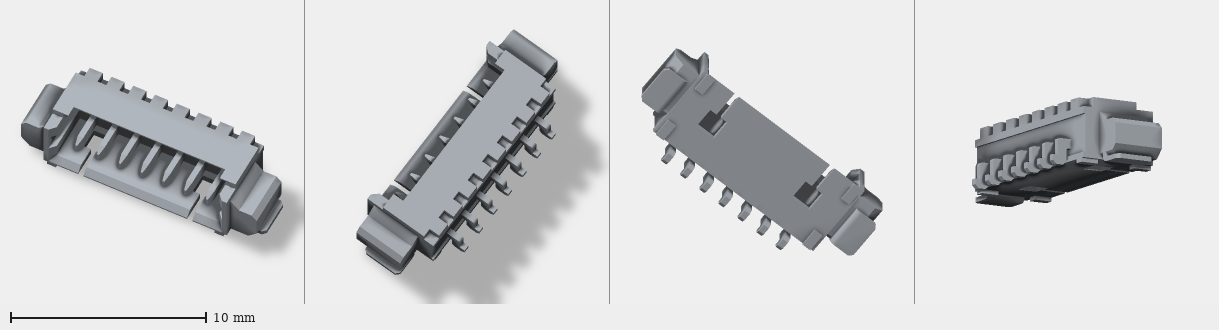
import cadquery as cq

overall_length = 13.9
overall_depth = 5.2
overall_height = 3.4

body_length = 10.51
body_depth = 4.2
body_bottom = 0.21
pad_length = 0.5
pad_outer_x = 5.06
front_pad_depth = 1.0

cavity_half_length = 4.67
cavity_depth = 2.93
floor_top = 0.6
ceiling = 3.02
flare = 0.3
flare_depth = 0.33
side_groove_bottom = 1.39
side_groove_top = 2.31

wing_front = 1.0
roof_front = 1.61
wing_inner_x = 4.35

slot_width = 0.3
slot_depth = 1.46
window_width = 1.11
window_back = 2.57

rear_notch_length = 0.5
rear_notch_depth = 0.6
rear_notch_height = 0.53
rear_recess = 0.13
rear_recess_bottom = 0.5
rear_recess_top = 2.5

pin_count = 7
pin_pitch = 1.25
pin_width = 0.32
blade_bottom = 0.97
blade_top = 1.68
tip_front = 0.71
taper_end = 1.21
tip_width = 0.11
tip_height = 0.39
lead_thickness = 0.5
lead_top = 1.38
foot_top = 0.5
leg_back = 4.89
lead_round = 0.13
foot_chamfer = 0.2

ear_front = 0.42
ear_back = 3.21
ear_outer_x = 6.77
ear_bottom = 0.3
ear_top = 2.17
ear_top_chamfer = 0.29
ear_bottom_chamfer = 0.49
ear_ramp = 0.5
ear_rear_chamfer = 0.2

nail_front = 1.0
nail_thickness = 0.25
nail_inner_x = 5.55
nail_corner = 0.2
nail_leg_top = 0.83
nail_outer_bend = 0.3
nail_inner_bend = 0.21

body_half = body_length / 2
pin_positions = [(i - (pin_count - 1) / 2) * pin_pitch for i in range(pin_count)]


def block(x0, x1, y0, y1, z0, z1):
    """Box between two opposite corners."""
    return cq.Workplane("XY").box(x1 - x0, y1 - y0, z1 - z0, centered=False).translate((x0, y0, z0))


def rect_loft(x, y0, size0, y1, size1, z):
    """Taper between two (width, height) rectangles facing Y, both centred on x and z."""
    return (
        cq.Workplane("XZ", origin=(x, y0, z))
        .rect(*size0)
        .workplane(offset=y0 - y1)
        .rect(*size1)
        .loft(combine=True)
    )


def both_sides(right_side):
    """Add the mirror image on the -X side."""
    return right_side.union(right_side.mirror("YZ"))


def make_shell():
    """Housing block with its board pads, before the cavity is cut."""
    shell = block(-body_half, body_half, 0, body_depth, body_bottom, overall_height)
    pad_inner_x = pad_outer_x - pad_length
    for y0, y1 in ((0, front_pad_depth), (ear_back, body_depth)):
        shell = shell.union(both_sides(block(pad_inner_x, pad_outer_x, y0, y1, 0, body_bottom)))
    return shell


def cut_cavity(shell):
    """Hollow the mating cavity and cut back the roof above it."""
    height = ceiling - floor_top
    middle = (ceiling + floor_top) / 2
    length = 2 * cavity_half_length
    shell = shell.cut(block(-cavity_half_length, cavity_half_length, 0, cavity_depth, floor_top, ceiling))
    mouth = (length + 2 * flare, height + 2 * flare)
    shell = shell.cut(rect_loft(0, 0, mouth, flare_depth, (length, height), middle))
    groove_x = cavity_half_length + flare
    shell = shell.cut(block(-groove_x, groove_x, 0, cavity_depth, side_groove_bottom, side_groove_top))

    shell = shell.cut(block(-body_half, body_half, 0, wing_front, ceiling, overall_height))
    shell = shell.cut(block(-wing_inner_x, wing_inner_x, 0, roof_front, ceiling, overall_height))
    for front, half in ((wing_front, cavity_half_length), (roof_front, wing_inner_x)):
        bevel = (
            cq.Workplane("YZ", origin=(-half, 0, 0))
            .polyline([(front, ceiling), (front, ceiling + flare), (front + flare_depth, ceiling)])
            .close()
            .extrude(2 * half)
        )
        shell = shell.cut(bevel)
    return shell


def cut_latch_slots(shell):
    """Two slots through the floor, each opening into a wider window behind."""
    slot_x = (pin_positions[-1] + pin_positions[-2]) / 2
    slot = block(slot_x - slot_width / 2, slot_x + slot_width / 2, 0, slot_depth, body_bottom, floor_top)
    window = block(
        slot_x - window_width / 2, slot_x + window_width / 2, slot_depth, window_back, body_bottom, floor_top
    )
    return shell.cut(both_sides(slot.union(window)))


def cut_rear(shell):
    """Notches along the rear top edge and the shallow recess below them."""
    half = rear_notch_length / 2
    corner_x = body_half - half
    for x in pin_positions + [-corner_x, corner_x]:
        notch = block(
            x - half, x + half, body_depth - rear_notch_depth, body_depth,
            overall_height - rear_notch_height, overall_height,
        )
        shell = shell.cut(notch)
    recess = block(
        -body_half, body_half, body_depth - rear_recess, body_depth, rear_recess_bottom, rear_recess_top
    )
    return shell.cut(recess)


def make_ear():
    """Right-hand ear."""
    profile = [
        (body_half, ear_bottom),
        (ear_outer_x - ear_bottom_chamfer, ear_bottom),
        (ear_outer_x, ear_bottom + ear_bottom_chamfer),
        (ear_outer_x, ear_top - ear_top_chamfer),
        (ear_outer_x - ear_top_chamfer, ear_top),
        (body_half + ear_ramp, ear_top),
        (body_half, ear_top + ear_ramp),
    ]
    ear = cq.Workplane("XZ", origin=(0, ear_back, 0)).polyline(profile).close().extrude(ear_back - ear_front)
    return ear.edges("<Z and >Y").chamfer(ear_rear_chamfer)


def make_nail():
    """Right-hand solder nail: a flat tab whose inner end bends up into the ear."""
    leg_outer_x = nail_inner_x + nail_thickness
    outer_x = overall_length / 2
    profile = [
        (nail_inner_x, 0),
        (outer_x, 0),
        (outer_x, nail_thickness),
        (leg_outer_x, nail_thickness),
        (leg_outer_x, nail_leg_top),
        (nail_inner_x, nail_leg_top),
    ]
    nail = (
        cq.Workplane("XZ", origin=(0, ear_back, 0)).polyline(profile).close().extrude(ear_back - nail_front)
    )
    nail = nail.edges("|Z and >X").chamfer(nail_corner)
    nail = nail.edges("|Y and <X and <Z").fillet(nail_outer_bend)
    nail_middle_y = (nail_front + ear_back) / 2
    inner_bend = cq.selectors.NearestToPointSelector((leg_outer_x, nail_middle_y, nail_thickness))
    return nail.edges(inner_bend).fillet(nail_inner_bend)


def make_pin(x):
    """Tapered contact blade with a bent lead that ends in a foot on the board."""
    blade_height = blade_top - blade_bottom
    middle = (blade_top + blade_bottom) / 2
    blade = block(
        x - pin_width / 2, x + pin_width / 2, taper_end, cavity_depth, blade_bottom, blade_top
    )
    tip = rect_loft(x, tip_front, (tip_width, tip_height), taper_end, (pin_width, blade_height), middle)

    leg_front = leg_back - lead_thickness
    lead_start = body_depth - rear_recess
    lead_bottom = lead_top - lead_thickness
    lead = (
        cq.Workplane("YZ", origin=(x - pin_width / 2, 0, 0))
        .moveTo(lead_start, lead_top)
        .lineTo(leg_back - lead_round, lead_top)
        .radiusArc((leg_back, lead_top - lead_round), lead_round)
        .lineTo(leg_back, foot_top)
        .lineTo(overall_depth, foot_top)
        .lineTo(overall_depth, foot_chamfer)
        .lineTo(overall_depth - foot_chamfer, 0)
        .lineTo(leg_front + foot_chamfer, 0)
        .lineTo(leg_front, foot_chamfer)
        .lineTo(leg_front, lead_bottom - lead_round)
        .radiusArc((leg_front - lead_round, lead_bottom), -lead_round)
        .lineTo(lead_start, lead_bottom)
        .close()
        .extrude(pin_width)
    )
    return blade.union(tip).union(lead)


housing = cut_rear(cut_latch_slots(cut_cavity(make_shell())))
result = housing.union(both_sides(make_ear().union(make_nail())))
for pin_x in pin_positions:
    result = result.union(make_pin(pin_x))